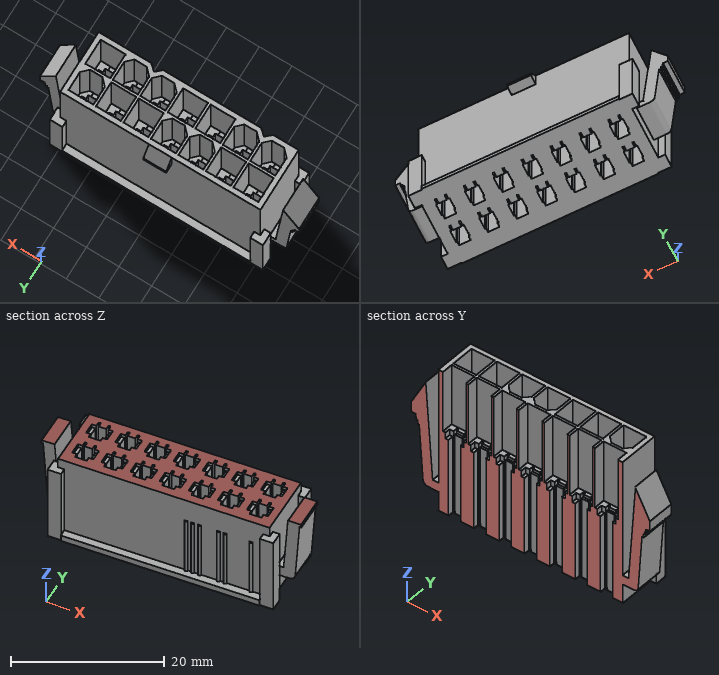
import cadquery as cq

BODY_X = 30.65
BODY_Y = 9.55
HEIGHT = 23.9

POST_OUTSET = 1.0
POST_LEG = 1.95
POST_HEIGHT = 11.87
FLANGE_OUTSET = 1.1
FLANGE_HEIGHT = 1.0

COLUMNS = 7
ROWS = 2
PITCH = 4.2
CELL = 3.8
CELL_FLOOR_Z = 13.85
KEY_CHAMFER = 0.95
KEYED_COLUMNS = [(0, 1, 4, 5), (2, 3, 6)]

PASSAGE_TOP = 0.95
PASSAGE_BOTTOM = -0.7
PASSAGE_WIDTH = 2.0
NECK_WIDTH = 1.65
NECK_BOTTOM = -1.3
LANCE_WIDTH = 1.2
LANCE_SLOT_TOP = 1.65
LANCE_LIP = 0.35
LANCE_LIP_DROP = 0.48
SEAT_WIDTH = 2.98
SEAT_DEPTH = 1.0
RELIEF_WIDTH = 0.85
RELIEF_DROP = 0.08

GROOVE_DEPTH = 0.85
GROOVE_HALF_WIDTH = 0.9
GROOVE_BOTTOM_Z = CELL_FLOOR_Z
GROOVES_AFTER_COLUMNS = (0, 4)

RIB_RADIUS = 0.25
RIB_TOP_Z = 9.8
RIB_PLACES = (3.25, 4.2, 5.2, 7.9, 8.9, 12.62)

CATCH_WIDTH = 3.5
CATCH_REACH = 1.43
CATCH_BOTTOM_Z = 20.9
CATCH_EDGE_Z = 21.48

ARM_WIDTH = 5.0
ARM_REACH = 19.85
ARM_BOTTOM_Z = 3.15
ARM_ROOT_TOP_Z = 4.75
ARM_INNER_X = 16.25
ARM_OUTER_X = 17.85
ARM_ROUND = 0.85
ARM_TIP = (17.4, 20.75)
HOOK_TOP_Z = 16.2
HOOK_BOTTOM_Z = 14.4
ARM_STEPS = ((19.15, 13.95), (19.0, 13.45), (18.78, 12.85))
ARM_SHANK_TOP = (18.55, 12.85)


def block(x_min, x_max, y_min, y_max, z_min, z_max):
    size = (x_max - x_min, y_max - y_min, z_max - z_min)
    return cq.Workplane("XY").box(*size, centered=False).translate((x_min, y_min, z_min))


def centred_block(x, width, y_min, y_max, z_min, z_max):
    return block(x - width / 2, x + width / 2, y_min, y_max, z_min, z_max)


def column_x(column):
    return (column - (COLUMNS - 1) / 2) * PITCH


def row_y(row):
    return (row - (ROWS - 1) / 2) * PITCH


def make_body():
    body = cq.Workplane("XY").box(BODY_X, BODY_Y, HEIGHT, centered=(True, True, False))
    post_x = BODY_X / 2 + POST_OUTSET
    post_y = BODY_Y / 2 + POST_OUTSET
    for side_x in (-1, 1):
        for side_y in (-1, 1):
            post = cq.Workplane("XY").box(POST_LEG, POST_LEG, POST_HEIGHT, centered=(True, True, False))
            centre = (side_x * (post_x - POST_LEG / 2), side_y * (post_y - POST_LEG / 2), 0)
            body = body.union(post.translate(centre))
    flange_x = 2 * (post_x - POST_LEG)
    flange_y = BODY_Y + 2 * FLANGE_OUTSET
    flange = cq.Workplane("XY").box(flange_x, flange_y, FLANGE_HEIGHT, centered=(True, True, False))
    return body.union(flange)


def make_cell(x, y, keyed):
    socket = centred_block(x, CELL, y - CELL / 2, y + CELL / 2, CELL_FLOOR_Z, HEIGHT)
    if keyed:
        socket = socket.edges("|Z and <Y").chamfer(KEY_CHAMFER)

    top = y + PASSAGE_TOP
    bottom = y + PASSAGE_BOTTOM
    neck_bottom = y + NECK_BOTTOM
    slot_top = y + LANCE_SLOT_TOP
    passage = centred_block(x, PASSAGE_WIDTH, bottom, top, 0, CELL_FLOOR_Z)
    neck = centred_block(x, NECK_WIDTH, neck_bottom, bottom, 0, CELL_FLOOR_Z)
    seat = centred_block(x, SEAT_WIDTH, bottom, top, CELL_FLOOR_Z - SEAT_DEPTH, CELL_FLOOR_Z)

    lance_slots = centred_block(x, NECK_WIDTH, top, slot_top, 0, CELL_FLOOR_Z)
    lance_slots = lance_slots.cut(centred_block(x, LANCE_WIDTH, top, slot_top, 0, CELL_FLOOR_Z))
    lip_z = CELL_FLOOR_Z - LANCE_LIP_DROP
    lance_lip = centred_block(x, LANCE_WIDTH, top, top + LANCE_LIP, lip_z, CELL_FLOOR_Z)

    wall = y - CELL / 2
    relief = (
        cq.Workplane("YZ")
        .moveTo(wall, CELL_FLOOR_Z)
        .lineTo(neck_bottom, CELL_FLOOR_Z)
        .lineTo(wall, CELL_FLOOR_Z - RELIEF_DROP)
        .close()
        .extrude(RELIEF_WIDTH)
        .translate((x - RELIEF_WIDTH / 2, 0, 0))
    )
    for part in (passage, neck, seat, lance_slots, lance_lip, relief):
        socket = socket.union(part)
    return socket


def make_groove(x):
    front = -BODY_Y / 2
    return (
        cq.Workplane("XY", origin=(0, 0, GROOVE_BOTTOM_Z))
        .moveTo(x - GROOVE_HALF_WIDTH, front)
        .lineTo(x, front + GROOVE_DEPTH)
        .lineTo(x + GROOVE_HALF_WIDTH, front)
        .close()
        .extrude(HEIGHT - GROOVE_BOTTOM_Z)
    )


def make_ribs():
    front = -BODY_Y / 2
    centres = [(x, front) for x in RIB_PLACES]
    ribs = cq.Workplane("XY").pushPoints(centres).circle(RIB_RADIUS).extrude(RIB_TOP_Z)
    inside = block(-BODY_X / 2, BODY_X / 2, front, 0, 0, RIB_TOP_Z)
    return ribs.cut(inside)


def make_catch():
    back = BODY_Y / 2
    return (
        cq.Workplane("YZ")
        .moveTo(back, HEIGHT)
        .lineTo(back + CATCH_REACH, CATCH_EDGE_Z)
        .lineTo(back + CATCH_REACH, CATCH_BOTTOM_Z)
        .lineTo(back, CATCH_BOTTOM_Z)
        .close()
        .extrude(CATCH_WIDTH / 2, both=True)
    )


def make_arm():
    """Spring arm on the +X end."""
    end = BODY_X / 2
    outline = [
        (end, ARM_BOTTOM_Z),
        (end, ARM_ROOT_TOP_Z),
        (ARM_INNER_X, ARM_ROOT_TOP_Z),
        ARM_TIP,
        (ARM_REACH, HOOK_TOP_Z),
        (ARM_REACH, HOOK_BOTTOM_Z),
    ]
    step_top = HOOK_BOTTOM_Z
    for x, step_bottom in ARM_STEPS:
        outline += [(x, step_top), (x, step_bottom)]
        step_top = step_bottom
    outline += [ARM_SHANK_TOP, (ARM_OUTER_X, ARM_BOTTOM_Z)]
    arm = cq.Workplane("XZ").polyline(outline).close().extrude(ARM_WIDTH / 2, both=True)
    heel = cq.selectors.NearestToPointSelector((ARM_OUTER_X, 0, ARM_BOTTOM_Z))
    return arm.edges("|Y").edges(heel).fillet(ARM_ROUND)


result = make_body()
for row in range(ROWS):
    for column in range(COLUMNS):
        keyed = column in KEYED_COLUMNS[row]
        result = result.cut(make_cell(column_x(column), row_y(row), keyed))
for column in GROOVES_AFTER_COLUMNS:
    result = result.cut(make_groove(column_x(column) + PITCH / 2))
arm = make_arm()
for part in (make_ribs(), make_catch(), arm, arm.mirror("YZ")):
    result = result.union(part)